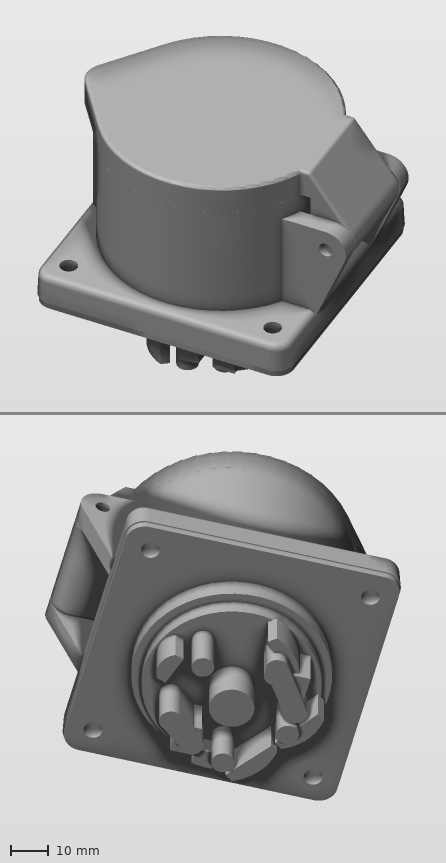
import cadquery as cq
import math


flange_width = 75.0
flange_corner_radius = 5.05
flange_top = 10.1
flange_draft = 3.0
flange_edge_fillet = 2.0
lip_width = 74.4
lip_height = 2.0
screw_spacing = 60.0
screw_hole_diameter = 5.0

barrel_radius = 33.0
barrel_top = 43.2
rib_radius = 5.05
rib_center_x = -32.1
flange_shoulder = flange_top - flange_edge_fillet

hinge_x = 40.0
hinge_z = 31.6
hinge_radius = 6.0
hinge_hole_diameter = 4.0
ear_outer_y = 18.7
arm_half_width = 13.7
ear_foot_x = 36.9

lid_top = 51.1
lid_edge_fillet = 0.9
tip_radius = 6.3
tip_reach = 39.5
arm_slope_x = 32.7
crest_fillet = 1.2

collar_radius = 26.5
collar_bottom = -5.6
neck_radius = 23.8
neck_bottom = -9.8
petal_bottom = -19.1
petal_bulge = 2.0
petal_thickness = 2.6
petal_ends = [
    ((-24.8, 1.4), (-16.25, -10.35)),
    ((-15.4, -11.7), (-6.15, -23.7)),
    ((-6.15, 23.85), (-15.4, 12.0)),
    ((18.5, 12.0), (21.2, 3.4)),
]
tower_count = 5
tower_radius = 3.0
tower_circle_radius = 16.4
tower_start_angle = 47.7
tower_bottom = -22.4
twin_tower_ends = [
    ((-16.4, 3.85), (-8.0, 16.5)),
    ((14.9, -6.7), (7.4, -12.8)),
]
core_radius = 6.0
block_size = (6.5, 8.7)
block_centers = [(9.15, -12.8), (-14.5, 10.0)]
block_bottom = -20.4
key_width = 5.6
key_center_x = 2.05
key_depth = 5.1
key_bottom = -15.3


def tangent_point(x, z, side):
    """Point where a line from (x, z) touches the hinge circle; side is +1 or -1."""
    distance = math.hypot(x - hinge_x, z - hinge_z)
    angle = math.atan2(z - hinge_z, x - hinge_x) + side * math.acos(hinge_radius / distance)
    return hinge_x + hinge_radius * math.cos(angle), hinge_z + hinge_radius * math.sin(angle)


def hinge_arc_middle(start, end):
    """Outermost point of the hinge circle between two points on it."""
    middle_x = (start[0] + end[0]) / 2 - hinge_x
    middle_z = (start[1] + end[1]) / 2 - hinge_z
    stretch = hinge_radius / math.hypot(middle_x, middle_z)
    return hinge_x + middle_x * stretch, hinge_z + middle_z * stretch


def extrude_between_y(profile, y_min, y_max):
    """Extrude an XZ profile from y_min to y_max."""
    return profile.extrude(y_max - y_min).translate((0, y_max, 0))


def cylinder(radius, z_min, z_max, x=0.0, y=0.0):
    return cq.Workplane("XY", origin=(x, y, z_min)).circle(radius).extrude(z_max - z_min)


def hinge_bore():
    bore = cq.Workplane("XZ").center(hinge_x, hinge_z).circle(hinge_hole_diameter / 2)
    return bore.extrude(ear_outer_y, both=True)


def make_flange():
    lip = cq.Workplane("XY").rect(lip_width, lip_width).extrude(lip_height)
    lip = lip.edges("|Z").fillet(flange_corner_radius)
    outline = cq.Sketch().rect(flange_width, flange_width).vertices().fillet(flange_corner_radius)
    plate = cq.Workplane("XY", origin=(0, 0, lip_height)).placeSketch(outline)
    plate = plate.extrude(flange_top - lip_height, taper=flange_draft)
    plate = plate.faces(">Z").edges().fillet(flange_edge_fillet)
    screw_holes = (
        cq.Workplane("XY")
        .rect(screw_spacing, screw_spacing, forConstruction=True)
        .vertices()
        .circle(screw_hole_diameter / 2)
        .extrude(flange_top)
    )
    return lip.union(plate).cut(screw_holes)


def make_ear(y_min, y_max):
    """Hinge ear standing on the flange and joined to the barrel side."""
    top_point = (hinge_x, hinge_z + hinge_radius)
    foot = (ear_foot_x, flange_shoulder)
    lower_tangent = tangent_point(*foot, 1)
    profile = (
        cq.Workplane("XZ")
        .moveTo(0, flange_shoulder)
        .lineTo(*foot)
        .lineTo(*lower_tangent)
        .threePointArc(hinge_arc_middle(lower_tangent, top_point), top_point)
        .lineTo(0, hinge_z + hinge_radius)
        .close()
    )
    return extrude_between_y(profile, y_min, y_max)


def make_housing():
    body = make_flange()
    body = body.union(cylinder(barrel_radius, lip_height, barrel_top))
    body = body.union(cylinder(rib_radius, flange_shoulder, barrel_top, x=rib_center_x))
    body = body.union(make_ear(arm_half_width, ear_outer_y))
    body = body.union(make_ear(-ear_outer_y, -arm_half_width))
    return body.cut(hinge_bore())


def make_lid_plate():
    """Round plate drawn out to a rounded thumb tip on the -X side."""
    tip_center_x = tip_radius - tip_reach
    tangent_cos = (barrel_radius - tip_radius) / -tip_center_x
    tangent_sin = math.sqrt(1 - tangent_cos**2)
    rim_x, rim_y = -barrel_radius * tangent_cos, barrel_radius * tangent_sin
    tip_x, tip_y = tip_center_x - tip_radius * tangent_cos, tip_radius * tangent_sin
    return (
        cq.Workplane("XY", origin=(0, 0, barrel_top))
        .moveTo(rim_x, -rim_y)
        .threePointArc((barrel_radius, 0), (rim_x, rim_y))
        .lineTo(tip_x, tip_y)
        .threePointArc((-tip_reach, 0), (tip_x, -tip_y))
        .close()
        .extrude(lid_top - barrel_top)
    )


def make_lid_arm():
    """Sloping arm that reaches down from the plate and ends round about the hinge."""
    slope_tangent = tangent_point(arm_slope_x, lid_top, -1)
    bottom_point = (hinge_x, hinge_z - hinge_radius)
    profile = (
        cq.Workplane("XZ")
        .moveTo(0, lid_top)
        .lineTo(arm_slope_x, lid_top)
        .lineTo(*slope_tangent)
        .threePointArc((hinge_x + hinge_radius, hinge_z), bottom_point)
        .lineTo(barrel_radius, hinge_z - hinge_radius)
        .lineTo(barrel_radius, barrel_top)
        .lineTo(0, barrel_top)
        .close()
    )
    arm = extrude_between_y(profile, -arm_half_width, arm_half_width)
    crest = cq.selectors.NearestToPointSelector((arm_slope_x, 0, lid_top))
    arm = arm.edges(crest).fillet(crest_fillet)
    return arm.faces("+Z").edges("|X").fillet(lid_edge_fillet)


def make_lid():
    plate = make_lid_plate().faces(">Z").edges().fillet(lid_edge_fillet)
    return plate.union(make_lid_arm()).cut(hinge_bore())


def make_petal(start, end):
    """Guard wall with a bulging outer face between two outer corners."""
    chord_x, chord_y = end[0] - start[0], end[1] - start[1]
    chord = math.hypot(chord_x, chord_y)
    middle_x, middle_y = (start[0] + end[0]) / 2, (start[1] + end[1]) / 2
    outward_x, outward_y = chord_y / chord, -chord_x / chord
    if outward_x * middle_x + outward_y * middle_y < 0:
        outward_x, outward_y = -outward_x, -outward_y
    inward = (-petal_thickness * outward_x, -petal_thickness * outward_y)
    return (
        cq.Workplane("XY", origin=(0, 0, petal_bottom))
        .moveTo(*start)
        .threePointArc((middle_x + petal_bulge * outward_x, middle_y + petal_bulge * outward_y), end)
        .lineTo(end[0] + inward[0], end[1] + inward[1])
        .lineTo(start[0] + inward[0], start[1] + inward[1])
        .close()
        .extrude(neck_bottom - petal_bottom)
    )


def make_twin_tower(start, end):
    """Slot-shaped post with its rounded ends centred on two points."""
    span_x, span_y = end[0] - start[0], end[1] - start[1]
    post = (
        cq.Workplane("XY", origin=(0, 0, tower_bottom))
        .slot2D(math.hypot(span_x, span_y) + 2 * tower_radius, 2 * tower_radius)
        .extrude(neck_bottom - tower_bottom)
    )
    post = post.rotate((0, 0, 0), (0, 0, 1), math.degrees(math.atan2(span_y, span_x)))
    return post.translate(((start[0] + end[0]) / 2, (start[1] + end[1]) / 2, 0))


def make_insert():
    body = cylinder(collar_radius, collar_bottom, 0)
    body = body.union(cylinder(neck_radius, neck_bottom, collar_bottom))
    for start, end in petal_ends:
        body = body.union(make_petal(start, end))
    for index in range(tower_count):
        angle = math.radians(tower_start_angle + index * 360 / tower_count)
        x, y = tower_circle_radius * math.cos(angle), tower_circle_radius * math.sin(angle)
        body = body.union(cylinder(tower_radius, tower_bottom, neck_bottom, x, y))
    for start, end in twin_tower_ends:
        body = body.union(make_twin_tower(start, end))
    body = body.union(cylinder(core_radius, block_bottom, neck_bottom))
    for x, y in block_centers:
        block = cq.Workplane("XY", origin=(x, y, block_bottom)).rect(*block_size)
        body = body.union(block.extrude(neck_bottom - block_bottom))
    key_blank = cq.Workplane("XY", origin=(key_center_x, key_depth / 2 - neck_radius, key_bottom))
    key = key_blank.rect(key_width, key_depth).extrude(neck_bottom - key_bottom)
    key = key.intersect(cylinder(neck_radius, key_bottom, neck_bottom))
    return body.union(key)


housing = make_housing()
lid = make_lid()
insert = make_insert()

result = cq.Compound.makeCompound([housing.val(), lid.val(), insert.val()])